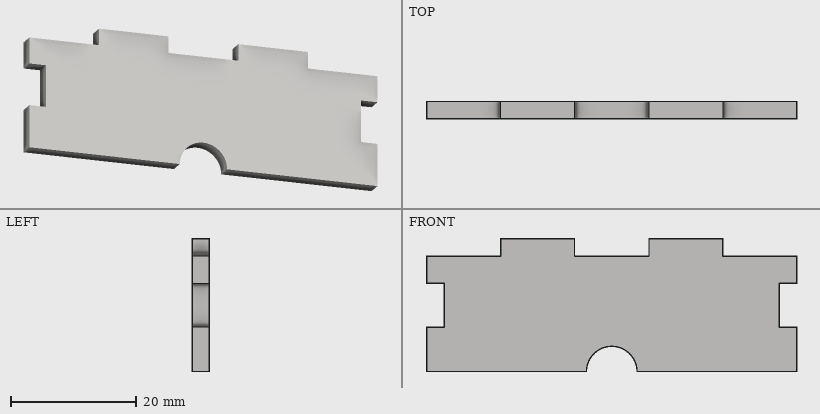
import cadquery as cq

length = 59.0
thickness = 2.8
height = 21.2

finger_pitch = length / 5
finger_depth = thickness
body_height = height - finger_depth

notch_bottom = 7.1
notch_height = 6.95

cutout_radius = 4.0


def block(x_center, z_bottom, x_size, z_size):
    """Full-thickness block standing on z_bottom."""
    return (
        cq.Workplane("XY")
        .box(x_size, thickness, z_size, centered=(True, True, False))
        .translate((x_center, 0, z_bottom))
    )


plate = block(0, 0, length, body_height)

for side in (-1, 1):
    plate = plate.union(block(side * finger_pitch, body_height, finger_pitch, finger_depth))

for side in (-1, 1):
    notch_center = side * (length - finger_depth) / 2
    plate = plate.cut(block(notch_center, notch_bottom, finger_depth, notch_height))

cutout = cq.Workplane("XZ").circle(cutout_radius).extrude(thickness / 2, both=True)
result = plate.cut(cutout)